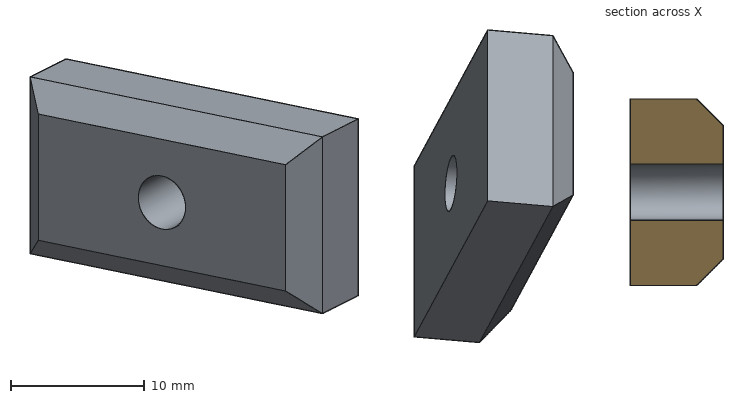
import cadquery as cq

length = 26.0
thickness = 7.0
height = 14.0

edge_bevel = 2.0
hole_diameter = 4.2


def make_block():
    """Rectangular block centred on the origin, bevelled around its -Y face."""
    block = cq.Workplane("XY").box(length, thickness, height)
    return block.faces("<Y").chamfer(edge_bevel)


def drill_centre_hole(body):
    """Plain hole through the full thickness, centred on the bevelled face."""
    return body.faces("<Y").workplane(centerOption="CenterOfBoundBox").hole(hole_diameter)


result = drill_centre_hole(make_block())